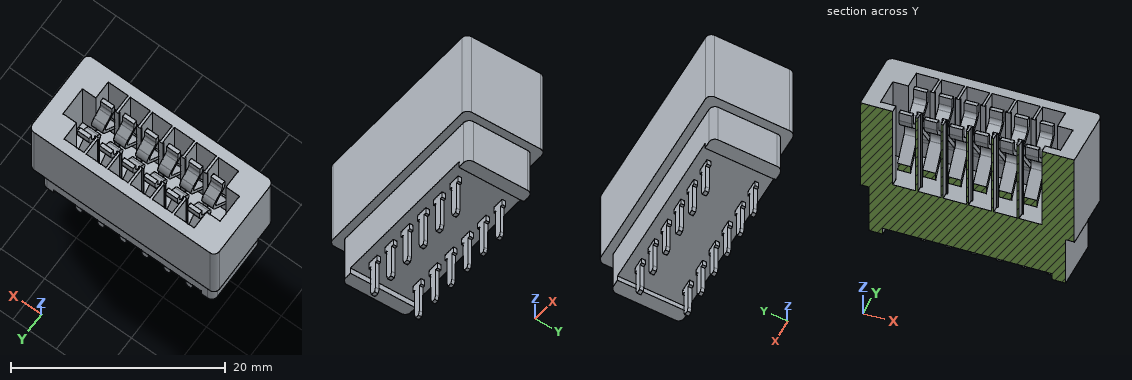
import cadquery as cq
import math

length = 21.55
width = 9.25
upper_height = 10.19
lower_length = 19.8
lower_width = 7.54
housing_height = 15.55
corner_radius = 0.65
standoff_height = 0.71
standoff_gap = 17.0

card_slot_length = 18.1
card_slot_width = 3.05
cavity_depth = 9.05
cell_row_depth = 6.98
divider_thickness = 0.25
divider_lip_width = 0.52
divider_lip_depth = 0.15

contact_count = 6
pitch = 2.55
contact_width = 1.31
contact_thickness = 0.4
row_spacing = 5.08
overall_height = 19.4
pin_width = 0.78
pin_tip_width = 0.47
pin_tip_height = 0.47

spring_top = -0.28
spring_top_offset = 1.8
spring_apex_offset = 0.37
spring_tip_length = 0.95
upper_bend_radius = 0.95
apex_bend_radius = 1.08
lower_bend_radius = 1.12
entry_angle = math.radians(47)
return_angle = math.radians(35)

cell_row_length = contact_count * pitch - divider_thickness
contact_places = [(i - (contact_count - 1) / 2) * pitch for i in range(contact_count)]
divider_places = [x + pitch / 2 for x in contact_places[:-1]]


def block(size_x, size_y, top, bottom, x=0, y=0):
    """Box centred on (x, y) that runs from the top level down to the bottom level."""
    return cq.Workplane("XY").box(size_x, size_y, top - bottom).translate((x, y, (top + bottom) / 2))


def make_cavity():
    cavity = block(card_slot_length, card_slot_width, 0, -cavity_depth)
    cavity = cavity.union(block(cell_row_length, cell_row_depth, 0, -cavity_depth))
    divider_length = (cell_row_depth - card_slot_width) / 2
    for x in divider_places:
        for side in (-1, 1):
            divider_y = side * (card_slot_width + divider_length) / 2
            lip_y = side * (card_slot_width + divider_lip_depth) / 2
            cavity = cavity.cut(block(divider_thickness, divider_length, 0, -cavity_depth, x, divider_y))
            cavity = cavity.cut(block(divider_lip_width, divider_lip_depth, 0, -cavity_depth, x, lip_y))
    return cavity


def make_housing():
    upper = block(length, width, 0, -upper_height).edges("|Z").fillet(corner_radius)
    lower = block(lower_length, lower_width, -upper_height, -housing_height)
    lower = lower.edges("|Z").fillet(corner_radius)
    underside_gap = block(standoff_gap, lower_width, standoff_height - housing_height, -housing_height)
    return upper.union(lower).cut(underside_gap).cut(make_cavity())


def bend(radius, angle):
    """Sideways and downward travel of a bend between vertical and a slope at the given angle."""
    return radius * (1 - math.cos(angle)), radius * math.sin(angle)


def make_spring():
    """Bent strip of the +Y row: in towards the card, round the apex and back out to the pin."""
    upper_in, upper_down = bend(upper_bend_radius, entry_angle)
    apex_in, apex_down = bend(apex_bend_radius, entry_angle)
    return_out, return_down = bend(apex_bend_radius, return_angle)
    lower_out, lower_down = bend(lower_bend_radius, return_angle)
    entry_run = spring_top_offset - spring_apex_offset - upper_in - apex_in
    return_run = row_spacing / 2 - spring_apex_offset - return_out - lower_out
    path = (
        cq.Workplane("YZ")
        .moveTo(spring_top_offset, spring_top)
        .line(0, -spring_tip_length)
        .tangentArcPoint((-upper_in, -upper_down))
        .line(-entry_run, -entry_run / math.tan(entry_angle))
        .tangentArcPoint((-apex_in, -apex_down))
        .tangentArcPoint((return_out, -return_down))
        .line(return_run, -return_run / math.tan(return_angle))
        .tangentArcPoint((lower_out, -lower_down))
        .lineTo(row_spacing / 2, -housing_height)
    )
    return (
        cq.Workplane("XY", origin=(0, spring_top_offset, spring_top))
        .rect(contact_width, contact_thickness)
        .sweep(path)
    )


def make_pin():
    """Flat solder pin with a tapered tip, below the spring of the +Y row."""
    tip_start = pin_tip_height - overall_height
    right_side = [
        (pin_width / 2, -housing_height),
        (pin_width / 2, tip_start),
        (pin_tip_width / 2, -overall_height),
    ]
    left_side = [(-x, z) for x, z in reversed(right_side)]
    return (
        cq.Workplane("XZ", origin=(0, row_spacing / 2, 0))
        .polyline(right_side + left_side)
        .close()
        .extrude(contact_thickness / 2, both=True)
    )


far_contact = make_spring().union(make_pin())
near_contact = far_contact.mirror("XZ")

result = make_housing()
for place in contact_places:
    for contact in (far_contact, near_contact):
        result = result.union(contact.translate((place, 0, 0)))